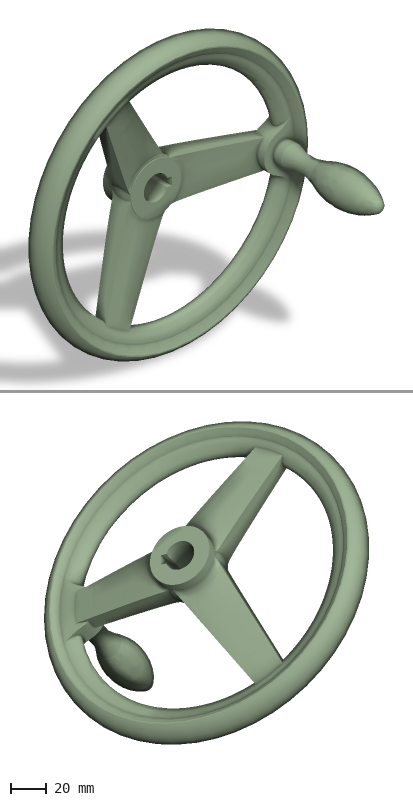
import cadquery as cq
import math


RIM_RADIUS = 100.0
RIM_FRONT = 24.3
RIM_BACK = 44.0
RIM_MIDDLE = (RIM_FRONT + RIM_BACK) / 2
RIM_FRONT_EDGE_RADIUS = 93.3
RIM_BACK_EDGE_RADIUS = 94.3
LIP_WIDTH = 0.8
STEP_DEPTH = 3.2
STEP_RADIUS = 88.3
BEAD_SIDE_DEPTH = STEP_DEPTH + 0.85
BEAD_SIDE_RADIUS = 84.5
SHOULDER_DEPTH = 5.9
SHOULDER_RADIUS = 81.6
RIM_INNER_RADIUS = 79.2

HUB_RADIUS = 37.0 / 2
HUB_LENGTH = 24.0
BARREL_START = 8.5
BARREL_BULGE = 0.9
BORE_RADIUS = 18.0 / 2
KEYWAY_WIDTH = 6.0
KEYWAY_DEPTH = 2.8

SPOKE_COUNT = 3
SPOKE_FRONT_X = 9.8
SPOKE_BACK_X = 23.6
SPOKE_ROOT_RADIUS = 20.7
SPOKE_TIP_RADIUS = 86.0
SPOKE_CORE_RADIUS = 16.0
SPOKE_FRONT_SLOPE = 0.304
SPOKE_BACK_SLOPE = 0.236
SPOKE_AXIS_HALF_WIDTH = 15.9
SPOKE_TAPER = 0.0755
HUB_FILLET_START = 6.3
HUB_FILLET_SAG = 0.6
HUB_FILLET_OVERLAP = 0.05

GRIP_OFFSET = 80.0
BOSS_RADIUS = 14.4
BOSS_FRONT = RIM_FRONT + STEP_DEPTH
BOSS_BACK = RIM_BACK - STEP_DEPTH
BOSS_OUTER_RADIUS = STEP_RADIUS + 1.5
FLARE_RADIUS = 25.0
FLARE_START_ANGLE = math.radians(22.5)
FLARE_SWEEP = math.radians(36.0)

COLLAR_RADIUS = 16.0 / 2
COLLAR_END = 47.7
NECK_RADIUS = 5.6
NECK_END = 73.1
BELLY_X = 93.0
BELLY_RADIUS = 12.4
DOME_START = 121.8
DOME_BASE_RADIUS = 4.2
GRIP_END = 124.0


def revolve_about_x(profile):
    """Revolve a closed (x, radius) profile a full turn about the X axis."""
    return profile.close().revolve(360, (0, 0, 0), (1, 0, 0))


def make_rim():
    profile = (
        cq.Workplane("XY")
        .moveTo(RIM_FRONT, RIM_FRONT_EDGE_RADIUS)
        .threePointArc((RIM_MIDDLE, RIM_RADIUS), (RIM_BACK, RIM_BACK_EDGE_RADIUS))
        .lineTo(RIM_BACK, RIM_BACK_EDGE_RADIUS - LIP_WIDTH)
        .lineTo(RIM_BACK - STEP_DEPTH, STEP_RADIUS)
        .threePointArc(
            (RIM_BACK - BEAD_SIDE_DEPTH, BEAD_SIDE_RADIUS),
            (RIM_BACK - SHOULDER_DEPTH, SHOULDER_RADIUS),
        )
        .threePointArc(
            (RIM_MIDDLE, RIM_INNER_RADIUS),
            (RIM_FRONT + SHOULDER_DEPTH, SHOULDER_RADIUS),
        )
        .threePointArc(
            (RIM_FRONT + BEAD_SIDE_DEPTH, BEAD_SIDE_RADIUS),
            (RIM_FRONT + STEP_DEPTH, STEP_RADIUS),
        )
        .lineTo(RIM_FRONT, RIM_FRONT_EDGE_RADIUS - LIP_WIDTH)
    )
    return revolve_about_x(profile)


def make_hub():
    """Solid hub: a cylinder that bulges slightly where it sits between the spokes."""
    barrel_middle = (BARREL_START + HUB_LENGTH) / 2
    profile = (
        cq.Workplane("XY")
        .lineTo(0, HUB_RADIUS)
        .lineTo(BARREL_START, HUB_RADIUS)
        .threePointArc((barrel_middle, HUB_RADIUS + BARREL_BULGE), (HUB_LENGTH, HUB_RADIUS))
        .lineTo(HUB_LENGTH, 0)
    )
    return revolve_about_x(profile)


def make_web():
    """Full conical web from the hub to the rim, with a concave front fillet at the hub."""
    reach = SPOKE_TIP_RADIUS - SPOKE_ROOT_RADIUS
    fillet_start_radius = HUB_RADIUS - HUB_FILLET_OVERLAP
    fillet_length = SPOKE_FRONT_X - HUB_FILLET_START
    fillet_rise = SPOKE_ROOT_RADIUS - fillet_start_radius
    chord_angle = math.atan2(fillet_rise, fillet_length)
    fillet_middle = (
        HUB_FILLET_START + fillet_length / 2 + HUB_FILLET_SAG * math.sin(chord_angle),
        fillet_start_radius + fillet_rise / 2 - HUB_FILLET_SAG * math.cos(chord_angle),
    )
    profile = (
        cq.Workplane("XY")
        .moveTo(HUB_FILLET_START, fillet_start_radius)
        .threePointArc(fillet_middle, (SPOKE_FRONT_X, SPOKE_ROOT_RADIUS))
        .lineTo(SPOKE_FRONT_X + SPOKE_FRONT_SLOPE * reach, SPOKE_TIP_RADIUS)
        .lineTo(SPOKE_BACK_X + SPOKE_BACK_SLOPE * reach, SPOKE_TIP_RADIUS)
        .lineTo(SPOKE_BACK_X, SPOKE_ROOT_RADIUS)
        .lineTo(SPOKE_BACK_X, SPOKE_CORE_RADIUS)
        .lineTo(HUB_FILLET_START, SPOKE_CORE_RADIUS)
    )
    return revolve_about_x(profile).rotate((0, 0, 0), (1, 0, 0), 180)


def make_spoke_plan(angle):
    """Tapered outline of one spoke, extruded along the wheel axis."""
    tip_half_width = SPOKE_AXIS_HALF_WIDTH - SPOKE_TAPER * SPOKE_TIP_RADIUS
    outline = [
        (0, -SPOKE_AXIS_HALF_WIDTH),
        (SPOKE_TIP_RADIUS, -tip_half_width),
        (SPOKE_TIP_RADIUS, tip_half_width),
        (0, SPOKE_AXIS_HALF_WIDTH),
    ]
    plan = cq.Workplane("YZ").polyline(outline).close().extrude(RIM_BACK)
    return plan.rotate((0, 0, 0), (1, 0, 0), angle)


def make_spokes():
    """List of spokes, each the part of the web inside one spoke outline."""
    web = make_web()
    pitch = 360 / SPOKE_COUNT
    return [web.intersect(make_spoke_plan(index * pitch)) for index in range(SPOKE_COUNT)]


def flare_point(fraction, side):
    """(y, z) point on the concave flare between boss and rim; side is +1 or -1."""
    centre_distance = BOSS_RADIUS + FLARE_RADIUS
    centre_y = GRIP_OFFSET - centre_distance * math.sin(FLARE_START_ANGLE)
    centre_z = centre_distance * math.cos(FLARE_START_ANGLE)
    angle = FLARE_START_ANGLE + fraction * FLARE_SWEEP
    y = centre_y + FLARE_RADIUS * math.sin(angle)
    z = centre_z - FLARE_RADIUS * math.cos(angle)
    return (y, side * z)


def make_boss():
    """Round grip boss whose sides flare outward into the rim."""
    return (
        cq.Workplane("YZ", origin=(BOSS_FRONT, 0, 0))
        .moveTo(*flare_point(0, 1))
        .threePointArc(flare_point(0.5, 1), flare_point(1, 1))
        .threePointArc((BOSS_OUTER_RADIUS, 0), flare_point(1, -1))
        .threePointArc(flare_point(0.5, -1), flare_point(0, -1))
        .threePointArc((GRIP_OFFSET - BOSS_RADIUS, 0), flare_point(0, 1))
        .close()
        .extrude(BOSS_BACK - BOSS_FRONT)
    )


def make_grip():
    """Turned grip: collar, waisted neck, round belly and a domed end."""
    neck_middle = (COLLAR_END + NECK_END) / 2
    dome_height = GRIP_END - DOME_START
    dome_radius = (DOME_BASE_RADIUS**2 + dome_height**2) / (2 * dome_height)
    dome_half_angle = math.asin(DOME_BASE_RADIUS / dome_radius) / 2
    dome_middle = (
        GRIP_END - dome_radius * (1 - math.cos(dome_half_angle)),
        dome_radius * math.sin(dome_half_angle),
    )
    profile = (
        cq.Workplane("XY")
        .moveTo(RIM_MIDDLE, 0)
        .lineTo(RIM_MIDDLE, COLLAR_RADIUS)
        .lineTo(COLLAR_END, COLLAR_RADIUS)
        .threePointArc((neck_middle, NECK_RADIUS), (NECK_END, COLLAR_RADIUS))
        .threePointArc((BELLY_X, BELLY_RADIUS), (DOME_START, DOME_BASE_RADIUS))
        .threePointArc(dome_middle, (GRIP_END, 0))
    )
    return revolve_about_x(profile).translate((0, GRIP_OFFSET, 0))


def make_bore():
    """Through bore with a keyway on the side facing the grip."""
    keyway_reach = BORE_RADIUS + KEYWAY_DEPTH
    bore = cq.Workplane("YZ").circle(BORE_RADIUS).extrude(HUB_LENGTH)
    keyway = (
        cq.Workplane("YZ")
        .center(keyway_reach / 2, 0)
        .rect(keyway_reach, KEYWAY_WIDTH)
        .extrude(HUB_LENGTH)
    )
    return bore.union(keyway)


wheel = make_rim().union(make_boss()).union(make_grip())
for spoke in make_spokes():
    wheel = wheel.union(spoke)
result = wheel.union(make_hub()).cut(make_bore())